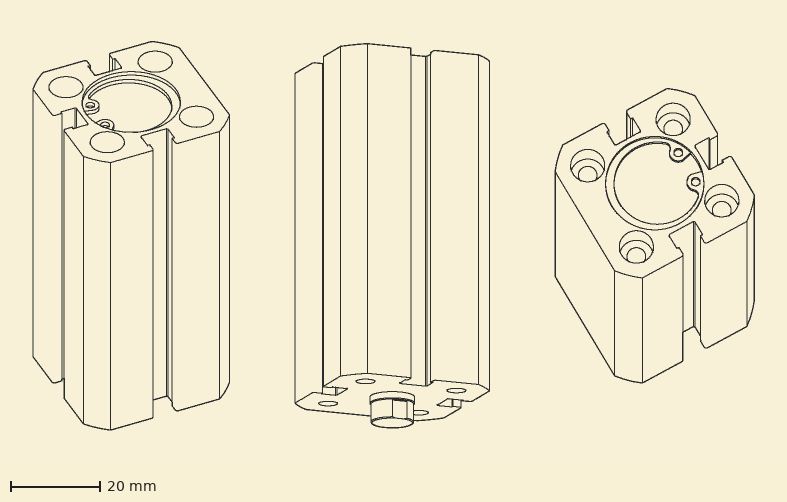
import cadquery as cq
import math

BODY_WIDTH = 36.0
TOTAL_HEIGHT = 82.0
ROD_PROJECTION = 6.0
BODY_HEIGHT = TOTAL_HEIGHT - ROD_PROJECTION
HALF_WIDTH = BODY_WIDTH / 2
CORNER_RADIUS = 22.5

SLOT_DEPTH = 5.9
SLOT_WIDTH = 6.65
SLOT_HALF_WIDTH = SLOT_WIDTH / 2
SLOT_CORNER_CHAMFER = 0.25
LIP_DEPTH = 2.2
LIP_ROUND = 0.6
LIP_HALF_WIDTH = SLOT_HALF_WIDTH - LIP_ROUND
SLOT_ANGLES = (0, 90, 180)

MOUNT_PITCH = 22.0
MOUNT_DIAMETER = 4.2
COUNTERBORE_DIAMETER = 7.6
COUNTERBORE_DEPTH = 7.0

RECESS_RADIUS = 11.0
RING_TOP_DEPTH = 1.0
RING_THICKNESS = 1.0
COVER_THICKNESS = 4.0
RING_BASE_Z = BODY_HEIGHT - RING_TOP_DEPTH - RING_THICKNESS
COVER_BASE_Z = RING_BASE_Z - COVER_THICKNESS

RING_INNER_RADIUS = 9.7
RING_INNER_OFFSET = 0.65
EAR_X = 3.9
EAR_Y = -8.3
EAR_RADIUS = 2.0
EAR_HOLE_DIAMETER = 2.0
EAR_FILLET = 1.2
GAP_HALF_WIDTH_AT_WALL = 2.55

ROD_RADIUS = 5.0
COLLAR_LENGTH = 1.6
TIP_DIAMETER = 9.6
TIP_RADIUS = TIP_DIAMETER / 2
WIDTH_ACROSS_FLATS = 8.9
FLAT_TOP_DEPTH = 1.9
TIP_CHAMFER = 0.25


def cylinder(radius, base_z, height):
    return cq.Workplane("XY", origin=(0, 0, base_z)).circle(radius).extrude(height)


def slot_half():
    """Half of a T-slot open to the -X side, on the +Y side of its middle plane."""
    mouth_x = -HALF_WIDTH
    lip_x = mouth_x + LIP_DEPTH
    floor_x = mouth_x + SLOT_DEPTH
    round_rise = LIP_ROUND * (1 - math.sqrt(0.5))
    return (
        cq.Workplane("XY")
        .moveTo(mouth_x, 0)
        .lineTo(mouth_x, SLOT_HALF_WIDTH)
        .threePointArc(
            (mouth_x + round_rise, LIP_HALF_WIDTH + round_rise),
            (mouth_x + LIP_ROUND, LIP_HALF_WIDTH),
        )
        .lineTo(lip_x, LIP_HALF_WIDTH)
        .lineTo(lip_x, SLOT_HALF_WIDTH)
        .lineTo(floor_x - SLOT_CORNER_CHAMFER, SLOT_HALF_WIDTH)
        .lineTo(floor_x, SLOT_HALF_WIDTH - SLOT_CORNER_CHAMFER)
        .lineTo(floor_x, 0)
        .close()
        .extrude(BODY_HEIGHT)
    )


def slot_cutter():
    half = slot_half()
    return half.union(half.mirror("XZ"))


def make_housing():
    block = cq.Workplane("XY").rect(BODY_WIDTH, BODY_WIDTH).extrude(BODY_HEIGHT)
    housing = block.intersect(cylinder(CORNER_RADIUS, 0, BODY_HEIGHT))
    for angle in SLOT_ANGLES:
        housing = housing.cut(slot_cutter().rotate((0, 0, 0), (0, 0, 1), angle))
    housing = (
        housing.faces(">Z").workplane(origin=(0, 0, BODY_HEIGHT))
        .rect(MOUNT_PITCH, MOUNT_PITCH, forConstruction=True).vertices()
        .cboreHole(MOUNT_DIAMETER, COUNTERBORE_DIAMETER, COUNTERBORE_DEPTH)
    )
    housing = housing.cut(cylinder(RECESS_RADIUS, COVER_BASE_Z, BODY_HEIGHT - COVER_BASE_Z))
    return housing.cut(cylinder(ROD_RADIUS, 0, BODY_HEIGHT))


def make_cover():
    return cylinder(RECESS_RADIUS, COVER_BASE_Z, COVER_THICKNESS)


def on_circle(center, radius, angle):
    return (center[0] + radius * math.cos(angle), center[1] + radius * math.sin(angle))


def mirror_x(point):
    return (-point[0], point[1])


def make_ring():
    """Open ring whose two plier ears flank the gap; the right half is worked out and mirrored."""
    inner_center = (0, -RING_INNER_OFFSET)
    ear_center = (EAR_X, EAR_Y)

    to_inner = RING_INNER_RADIUS - EAR_FILLET
    to_ear = EAR_RADIUS + EAR_FILLET
    span = math.dist(inner_center, ear_center)
    ear_direction = math.atan2(EAR_Y + RING_INNER_OFFSET, EAR_X)
    turn = math.acos((to_inner**2 + span**2 - to_ear**2) / (2 * to_inner * span))
    fillet_direction = ear_direction + turn
    fillet_center = on_circle(inner_center, to_inner, fillet_direction)
    from_ear = math.atan2(fillet_center[1] - EAR_Y, fillet_center[0] - EAR_X)

    inner_end = on_circle(inner_center, RING_INNER_RADIUS, fillet_direction)
    fillet_middle = on_circle(fillet_center, EAR_FILLET, (fillet_direction + from_ear - math.pi) / 2)
    ear_start = on_circle(ear_center, EAR_RADIUS, from_ear)
    ear_middle = on_circle(ear_center, EAR_RADIUS, (from_ear + math.pi) / 2)
    ear_end = (EAR_X - EAR_RADIUS, EAR_Y)
    wall_y = -math.sqrt(RECESS_RADIUS**2 - GAP_HALF_WIDTH_AT_WALL**2)
    wall_end = (GAP_HALF_WIDTH_AT_WALL, wall_y)

    outline = (
        cq.Workplane("XY", origin=(0, 0, RING_BASE_Z))
        .moveTo(*wall_end)
        .threePointArc((0, RECESS_RADIUS), mirror_x(wall_end))
        .lineTo(*mirror_x(ear_end))
        .threePointArc(mirror_x(ear_middle), mirror_x(ear_start))
        .threePointArc(mirror_x(fillet_middle), mirror_x(inner_end))
        .threePointArc((0, RING_INNER_RADIUS - RING_INNER_OFFSET), inner_end)
        .threePointArc(fillet_middle, ear_start)
        .threePointArc(ear_middle, ear_end)
        .close()
    )
    ear_holes = (
        cq.Workplane("XY", origin=(0, 0, RING_BASE_Z))
        .pushPoints([ear_center, mirror_x(ear_center)])
        .circle(EAR_HOLE_DIAMETER / 2)
        .extrude(RING_THICKNESS)
    )
    return outline.extrude(RING_THICKNESS).cut(ear_holes)


def make_rod():
    """Rod reaching up to the end cover, with a reduced tip that has two wrench flats on the Y sides."""
    shank = cylinder(ROD_RADIUS, -COLLAR_LENGTH, COVER_BASE_Z + COLLAR_LENGTH)
    shank = shank.faces("<Z").chamfer(ROD_RADIUS - TIP_RADIUS)
    tip_length = ROD_PROJECTION - COLLAR_LENGTH
    tip = cylinder(TIP_RADIUS, -ROD_PROJECTION, tip_length).faces("<Z").chamfer(TIP_CHAMFER)
    rod = shank.union(tip)
    flat_height = ROD_PROJECTION - FLAT_TOP_DEPTH
    flat_center_y = (WIDTH_ACROSS_FLATS + ROD_RADIUS) / 2
    for side in (-1, 1):
        waste = cq.Workplane("XY", origin=(0, side * flat_center_y, -ROD_PROJECTION))
        rod = rod.cut(waste.rect(2 * ROD_RADIUS, ROD_RADIUS).extrude(flat_height))
    return rod


housing = make_housing()
cover = make_cover()
retaining_ring = make_ring()
rod = make_rod()

result = cq.Compound.makeCompound([housing.val(), cover.val(), retaining_ring.val(), rod.val()])